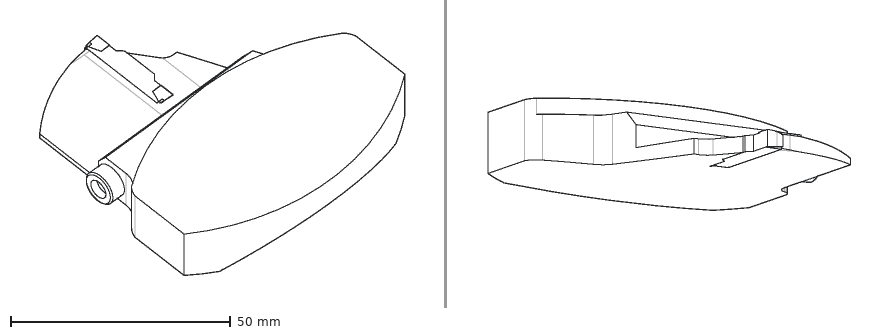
import cadquery as cq
import math


total_length = 76.1
total_width = 70.0
total_height = 16.0

lens_radius = 60.0
lens_front_x = 35.8
body_ledge = 0.2
body_corner_overrun = 0.15
body_corner_radius = 5.9
rear_chamfer = 8.0

underside_radius = 360.0

shoulder_front_x = 30.85
shoulder_top_z = 12.2
shoulder_chamfer_length = 2.35
shoulder_chamfer_height = 3.25
shoulder_fillet_radius = 5.9
side_face_y = -29.4

blade_top_z = 3.8
blade_flat_half_width = 6.1
blade_crown_radius = 240.0
nose_arc_radius = 42.5
nose_arc_center_x = 43.35
nose_arc_center_y = -1.2
nose_face_x = 1.0
nose_face_end_y = -6.75
flank_tip_x = 16.15
flank_tip_y = 9.7
flank_angle = 24.0
chip_relief_wall = 1.1
chip_relief_radius = 3.6
chip_relief_angle = 35.0
nose_bevel_end_x = 2.1
nose_bevel_slope = 0.2

insert_length = 25.0
insert_depth = 4.35
insert_end_relief = 0.35
insert_land_relief = 0.2
insert_ridge_start = 6.2
insert_ridge_top_start = 7.6
insert_ridge_height = 1.35
tip_height = 4.0
tip_length = 4.05
tip_side_depth = 2.6
tip_point_x = 0.5
tip_point_depth = 3.9
tip_flank_length = 0.9
tip_flank_relief = 0.5

screw_x = 35.2
screw_z = 6.1
screw_head_diameter = 8.5
screw_head_length = 4.3
screw_head_edge = 0.4
screw_root = 0.5
screw_tilt_x = 1.5
screw_tilt_z = 2.5
socket_diameter = 4.8
socket_depth = 2.0
socket_cone_depth = 1.2

half_width = total_width / 2
body_front_x = lens_front_x - body_ledge
lens_mid_x = (lens_front_x + total_length) / 2
half_length = insert_length / 2
MARGIN = 10.0


def lens_prism(front_x, side_y, height):
    """Prism with arcs at the front and rear and flat sides at +-side_y."""
    sagitta = lens_radius - math.sqrt(lens_radius**2 - side_y**2)
    front_corner_x = front_x + sagitta
    rear_corner_x = total_length - sagitta
    return (
        cq.Workplane("XY")
        .moveTo(rear_corner_x, side_y)
        .lineTo(front_corner_x, side_y)
        .threePointArc((front_x, 0), (front_corner_x, -side_y))
        .lineTo(rear_corner_x, -side_y)
        .threePointArc((total_length, 0), (rear_corner_x, side_y))
        .close()
        .extrude(height)
    )


def body_lens():
    """Lens of the body, a little larger than the top lens, with rounded front corners.

    The corners are rounded on slightly wider sides, which the final width then trims.
    """
    prism = lens_prism(body_front_x, half_width + body_corner_overrun, total_height)
    front_corners = cq.selectors.BoxSelector(
        (body_front_x, -total_width, 0), (body_front_x + lens_radius / 4, total_width, total_height)
    )
    return prism.edges("|Z").edges(front_corners).fillet(body_corner_radius)


def neck_prism():
    """Plan outline shared by the blade and the shoulder, over the full height."""
    slope = math.tan(math.radians(flank_angle))
    inner_y = flank_tip_y + slope * (lens_mid_x - flank_tip_x)

    turn = math.radians(90 - chip_relief_angle)
    arc_center_x = flank_tip_x - chip_relief_radius
    arc_start_y = flank_tip_y - chip_relief_wall

    def relief_point(angle):
        return (
            arc_center_x + chip_relief_radius * math.cos(angle),
            arc_start_y - chip_relief_radius * math.sin(angle),
        )

    relief_end = relief_point(turn)
    ramp_drop = relief_end[1] - insert_ridge_height
    ramp_end_x = relief_end[0] - ramp_drop / math.tan(math.radians(chip_relief_angle))

    def nose_point(y):
        rise = y - nose_arc_center_y
        return (nose_arc_center_x - math.sqrt(nose_arc_radius**2 - rise**2), y)

    return (
        cq.Workplane("XY")
        .moveTo(lens_mid_x, inner_y)
        .lineTo(flank_tip_x, flank_tip_y)
        .lineTo(flank_tip_x, arc_start_y)
        .threePointArc(relief_point(turn / 2), relief_end)
        .lineTo(ramp_end_x, insert_ridge_height)
        .lineTo(nose_face_x, -insert_depth)
        .lineTo(*nose_point(nose_face_end_y))
        .threePointArc(nose_point((side_face_y + nose_face_end_y) / 2), nose_point(side_face_y))
        .lineTo(lens_mid_x, side_face_y)
        .close()
        .extrude(total_height)
    )


def fillet_neck(body):
    """Round the two inner corners where the neck runs into the lens."""
    slope = math.tan(math.radians(flank_angle))
    lens_center_x = body_front_x + lens_radius
    flank_offset = flank_tip_y + slope * (lens_center_x - flank_tip_x)
    b = slope * flank_offset
    root = math.sqrt(b**2 - (1 + slope**2) * (flank_offset**2 - lens_radius**2))
    flank_dx = (-b - root) / (1 + slope**2)
    flank_corner = (lens_center_x + flank_dx, flank_offset + slope * flank_dx)
    side_corner = (lens_center_x - math.sqrt(lens_radius**2 - side_face_y**2), side_face_y)
    for x, y in (flank_corner, side_corner):
        corner = cq.selectors.BoxSelector((x - 1, y - 1, -1), (x + 1, y + 1, total_height))
        body = body.edges("|Z").edges(corner).fillet(shoulder_fillet_radius)
    return body


def above_blade():
    """Space over the blade: flat in the middle and falling away in an arc to each side."""
    def crown_point(y):
        run = abs(y) - blade_flat_half_width
        drop = blade_crown_radius - math.sqrt(blade_crown_radius**2 - run**2)
        return (y, blade_top_z - drop)

    middle = (half_width + blade_flat_half_width) / 2
    return (
        cq.Workplane("YZ")
        .workplane(offset=-MARGIN)
        .moveTo(-half_width, total_height)
        .lineTo(*crown_point(-half_width))
        .threePointArc(crown_point(-middle), crown_point(-blade_flat_half_width))
        .lineTo(*crown_point(blade_flat_half_width))
        .threePointArc(crown_point(middle), crown_point(half_width))
        .lineTo(half_width, total_height)
        .close()
        .extrude(shoulder_front_x + MARGIN)
    )


def crowned_envelope():
    """Everything between the crowned underside and the top, trimmed to the full width."""
    side_z = underside_radius - math.sqrt(underside_radius**2 - half_width**2)
    return (
        cq.Workplane("YZ")
        .workplane(offset=-MARGIN)
        .moveTo(-half_width, total_height)
        .lineTo(-half_width, side_z)
        .threePointArc((0, 0), (half_width, side_z))
        .lineTo(half_width, total_height)
        .close()
        .extrude(total_length + 2 * MARGIN)
    )


def above_shoulder():
    """Space over the shoulder, bounded at the rear by the front arc of the top lens."""
    block = (
        cq.Workplane("XY")
        .workplane(offset=shoulder_top_z)
        .moveTo(0, -total_width)
        .rect(lens_mid_x, 2 * total_width, centered=False)
        .extrude(total_height - shoulder_top_z)
    )
    return block.cut(lens_prism(lens_front_x, half_width + body_corner_overrun, total_height))


def side_wedge(points):
    """Prism along Y through the whole width from an outline in X and Z."""
    return cq.Workplane("XZ").polyline(points).close().extrude(half_width + MARGIN, both=True)


def shoulder_chamfer():
    return side_wedge([
        (shoulder_front_x, shoulder_top_z),
        (shoulder_front_x, shoulder_top_z - shoulder_chamfer_height),
        (shoulder_front_x + shoulder_chamfer_length, shoulder_top_z),
    ])


def rear_edge_chamfer():
    return side_wedge([
        (total_length, 0),
        (total_length - rear_chamfer, 0),
        (total_length, rear_chamfer),
    ])


def nose_bevels():
    """Shallow bevels on the upper and lower edges of the blade's nose."""
    bevel_height = nose_bevel_slope * nose_bevel_end_x
    upper = side_wedge([
        (nose_bevel_end_x, blade_top_z),
        (0, blade_top_z),
        (0, blade_top_z - bevel_height),
    ])
    return upper.union(upper.mirror("XY", (0, 0, blade_top_z / 2)))


def screw_head():
    """Socket head, rooted in the shoulder's side face and leaning slightly up and back."""
    direction = cq.Vector(
        math.tan(math.radians(screw_tilt_x)), -1, math.tan(math.radians(screw_tilt_z))
    )
    start = cq.Vector(screw_x, side_face_y, screw_z) - direction * screw_root
    face_distance = screw_root + screw_head_length
    plane = cq.Plane(origin=start, xDir=(1, math.tan(math.radians(screw_tilt_x)), 0), normal=direction)
    head = (
        cq.Workplane(plane)
        .circle(screw_head_diameter / 2)
        .extrude(face_distance)
        .faces("<Y").edges()
        .chamfer(screw_head_edge)
    )
    socket_floor = face_distance - socket_depth
    socket = cq.Workplane("XY").polyline([
        (0, face_distance),
        (socket_diameter / 2, face_distance),
        (socket_diameter / 2, socket_floor),
        (0, socket_floor - socket_cone_depth),
    ]).close().revolve(360, (0, 0), (0, 1))
    socket = socket.rotate((0, 0, 0), (1, 0, 0), 90)
    placed = socket.val().moved(cq.Location(plane))
    return head.cut(cq.Workplane(placed))


def insert_tip_land():
    """Raised land at one cutting tip, sloping down to the insert's flat top."""
    block = (
        cq.Workplane("XY")
        .workplane(offset=blade_top_z)
        .polyline([
            (0, 0),
            (tip_length, 0),
            (tip_length, -tip_side_depth),
            (tip_point_x, -tip_point_depth),
            (insert_end_relief, -tip_point_depth),
            (insert_land_relief, -tip_side_depth),
        ])
        .close()
        .extrude(tip_height - blade_top_z)
    )
    slope = (
        cq.Workplane("YZ")
        .polyline([(0, blade_top_z), (0, tip_height), (-tip_point_depth, blade_top_z)])
        .close()
        .extrude(tip_length)
    )
    return block.intersect(slope)


def insert_flank_relief():
    """Wedges that narrow the end of the insert away from the cutting edge, below and above."""
    lower = [(0, 0), (-insert_depth, 0), (-insert_depth, tip_flank_relief)]
    upper = [
        (-tip_side_depth, blade_top_z),
        (-insert_depth, blade_top_z),
        (-insert_depth, blade_top_z - tip_flank_relief),
    ]
    relief = cq.Workplane("YZ").polyline(lower).close().extrude(tip_flank_length)
    return relief.union(cq.Workplane("YZ").polyline(upper).close().extrude(tip_flank_length))


def make_insert():
    body = (
        cq.Workplane("XY")
        .polyline([
            (0, 0),
            (insert_ridge_start, 0),
            (insert_ridge_top_start, insert_ridge_height),
            (insert_length - insert_ridge_top_start, insert_ridge_height),
            (insert_length - insert_ridge_start, 0),
            (insert_length, 0),
            (insert_length - insert_land_relief, -tip_side_depth),
            (insert_length - insert_end_relief, -insert_depth),
            (insert_end_relief, -insert_depth),
            (insert_land_relief, -tip_side_depth),
        ])
        .close()
        .extrude(blade_top_z)
    )
    land = insert_tip_land()
    relief = insert_flank_relief()
    middle = (half_length, 0, 0)
    body = body.cut(relief).cut(relief.mirror("YZ", middle))
    return body.union(land).union(land.mirror("YZ", middle))


def make_holder(insert):
    holder = fillet_neck(body_lens().union(neck_prism()))
    holder = holder.cut(above_shoulder()).cut(shoulder_chamfer())
    holder = holder.cut(above_blade()).cut(nose_bevels())
    holder = holder.cut(rear_edge_chamfer()).intersect(crowned_envelope())
    return holder.union(screw_head()).cut(insert)


insert = make_insert()
holder = make_holder(insert)
result = cq.Compound.makeCompound([holder.val(), insert.val()])